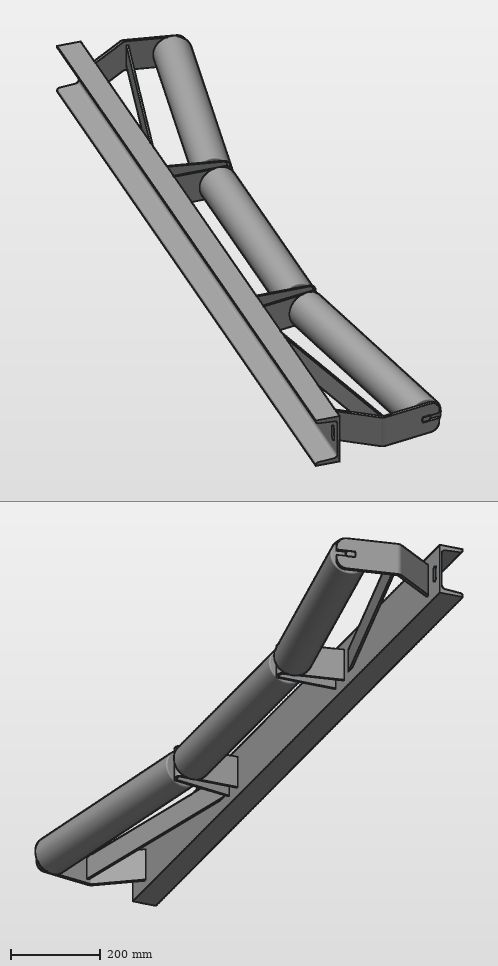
import cadquery as cq
import math


beam_length = 1697.0
beam_height = 120.0
beam_depth = 56.0
web_thickness = 5.0
flange_tip_thickness = 9.0
flange_root_thickness = 12.0
flange_root_radius = 9.0
flange_tip_radius = 7.0
beam_slot_width = 15.0
beam_slot_length = 38.0
beam_slot_inset = 29.0

roller_diameter = 89.0
roller_length = 530.0
roller_edge_radius = 3.0
shaft_diameter = 22.0
shaft_flat_width = 14.0
trough_angle = 10.0
centre_roller_y = 115.0
side_roller_x = 565.0
side_roller_y = 165.0

strip_width = 75.0
end_gap = 3.0

inner_thickness = 5.0
inner_bracket_top = 147.0
inner_bend_radius = 5.0

outer_thickness = 7.7
outer_bend_radius = 7.0
outer_bracket_reach = 33.0
outer_corner_radius = 22.0
outer_bend_drop = 113.0
outer_foot_x = 785.0

strut_width = 55.0
strut_thickness = 5.0
strut_foot_x = 366.0
strut_end_drop = 105.0

roller_end = roller_length / 2
bracket_face = roller_end + end_gap
shaft_end = bracket_face + inner_thickness
slope = math.radians(trough_angle)


def tilted(body):
    """Carry a body from the frame of the right roller (axis along X) to its place."""
    return body.rotate((0, 0, 0), (0, 0, 1), trough_angle).translate((side_roller_x, side_roller_y, 0))


def tilted_point(along, across):
    """Place in the XY plane of a point given in the frame of the right roller."""
    x = side_roller_x + along * math.cos(slope) - across * math.sin(slope)
    y = side_roller_y + along * math.sin(slope) + across * math.cos(slope)
    return (x, y, 0)


def strip(outline, width):
    """Raise an XY outline to a width along Z, centred on Z = 0."""
    return cq.Workplane("XY", origin=(0, 0, -width / 2)).polyline(outline).close().extrude(width)


def round_edges(body, direction, midpoints, radius):
    """Fillet the edges that run in one direction through the given midpoints."""
    for midpoint in midpoints:
        body = body.edges(direction).edges(cq.NearestToPointSelector(midpoint)).fillet(radius)
    return body


def make_beam():
    half = beam_height / 2
    profile = [
        (0, -half),
        (-beam_depth, -half),
        (-beam_depth, -half + flange_tip_thickness),
        (-web_thickness, -half + flange_root_thickness),
        (-web_thickness, half - flange_root_thickness),
        (-beam_depth, half - flange_tip_thickness),
        (-beam_depth, half),
        (0, half),
    ]
    beam = (
        cq.Workplane("YZ", origin=(-beam_length / 2, 0, 0))
        .polyline(profile)
        .close()
        .extrude(beam_length)
    )
    roots = [(0, y, z) for y, z in profile[3:5]]
    tips = [(0, y, z) for y, z in (profile[2], profile[5])]
    beam = round_edges(beam, "|X", roots, flange_root_radius)
    beam = round_edges(beam, "|X", tips, flange_tip_radius)
    slot_x = beam_length / 2 - beam_slot_inset
    slots = (
        cq.Workplane("XZ")
        .pushPoints([(-slot_x, 0), (slot_x, 0)])
        .slot2D(beam_slot_length, beam_slot_width, 90)
        .extrude(web_thickness)
    )
    return beam.cut(slots)


def make_shaft():
    shaft = cq.Workplane("YZ", origin=(-shaft_end, 0, 0)).circle(shaft_diameter / 2).extrude(2 * shaft_end)
    flats = cq.Workplane("XY").box(2 * shaft_end, shaft_diameter, shaft_flat_width)
    return shaft.intersect(flats)


def make_roller():
    tube = (
        cq.Workplane("YZ", origin=(-roller_end, 0, 0))
        .circle(roller_diameter / 2)
        .extrude(roller_length)
        .edges()
        .fillet(roller_edge_radius)
    )
    return tube.union(make_shaft())


def make_inner_bracket():
    def tilted_leg_x(y, along):
        """X, at height y over the beam, of a line square to the right roller's axis."""
        return side_roller_x + (along - (y - side_roller_y) * math.sin(slope)) / math.cos(slope)

    far_face = bracket_face + inner_thickness
    under = inner_bracket_top - inner_thickness
    outline = [
        (bracket_face, 0, 0),
        (bracket_face, inner_bracket_top, 0),
        (tilted_leg_x(inner_bracket_top, -bracket_face), inner_bracket_top, 0),
        (tilted_leg_x(0, -bracket_face), 0, 0),
        (tilted_leg_x(0, -far_face), 0, 0),
        (tilted_leg_x(under, -far_face), under, 0),
        (far_face, under, 0),
        (far_face, 0, 0),
    ]
    bracket = strip(outline, strip_width)
    bracket = round_edges(bracket, "|Z", outline[1:3], inner_bend_radius + inner_thickness)
    bracket = round_edges(bracket, "|Z", outline[5:7], inner_bend_radius)
    shaft = make_shaft()
    return bracket.cut(shaft.translate((0, centre_roller_y, 0))).cut(tilted(shaft))


def end_slot():
    half_height = shaft_diameter / 2
    half_width = shaft_flat_width / 2
    shoulder = math.sqrt(half_height**2 - half_width**2)
    return (
        cq.Workplane("YZ", origin=(bracket_face, 0, 0))
        .moveTo(outer_bracket_reach, half_width)
        .lineTo(-shoulder, half_width)
        .threePointArc((-half_height, 0), (-shoulder, -half_width))
        .lineTo(outer_bracket_reach, -half_width)
        .close()
        .extrude(outer_thickness)
    )


def make_outer_bracket():
    far_face = bracket_face + outer_thickness
    outer_bend = tilted_point(far_face, -outer_bend_drop)
    bend_x, bend_y, _ = outer_bend
    foot_angle = math.atan2(bend_y, bend_x - outer_foot_x)
    turn = math.pi / 2 - foot_angle + slope
    inner_bend_drop = outer_bend_drop - outer_thickness * math.tan(turn / 2)
    inner_bend = tilted_point(bracket_face, -inner_bend_drop)
    outline = [
        tilted_point(bracket_face, outer_bracket_reach),
        tilted_point(far_face, outer_bracket_reach),
        outer_bend,
        (outer_foot_x, 0, 0),
        (outer_foot_x - outer_thickness / math.sin(foot_angle), 0, 0),
        inner_bend,
    ]
    bracket = strip(outline, strip_width)
    bracket = round_edges(bracket, "|Z", [outline[2]], outer_bend_radius + outer_thickness)
    bracket = round_edges(bracket, "|Z", [outline[5]], outer_bend_radius)
    bracket = bracket.faces(">Y").edges("#Z").fillet(outer_corner_radius)
    return bracket.cut(tilted(end_slot()))


def make_strut():
    lower_end = tilted_point(bracket_face, -strut_end_drop)
    end_x, end_y, _ = lower_end
    angle = math.atan2(end_y, end_x - strut_foot_x)
    outline = [
        (strut_foot_x, 0, 0),
        lower_end,
        tilted_point(bracket_face, strut_thickness - strut_end_drop),
        (strut_foot_x - strut_thickness / math.sin(angle), 0, 0),
    ]
    return strip(outline, strut_width)


beam = make_beam()
roller = make_roller()
centre_roller = roller.translate((0, centre_roller_y, 0))
side_roller = tilted(roller)
inner_bracket = make_inner_bracket()
outer_bracket = make_outer_bracket()
strut = make_strut()
right_bodies = [side_roller, inner_bracket, outer_bracket, strut]
left_bodies = [body.mirror("YZ") for body in right_bodies]

result = cq.Compound.makeCompound(
    [beam.val(), centre_roller.val()] + [body.val() for body in right_bodies + left_bodies]
)